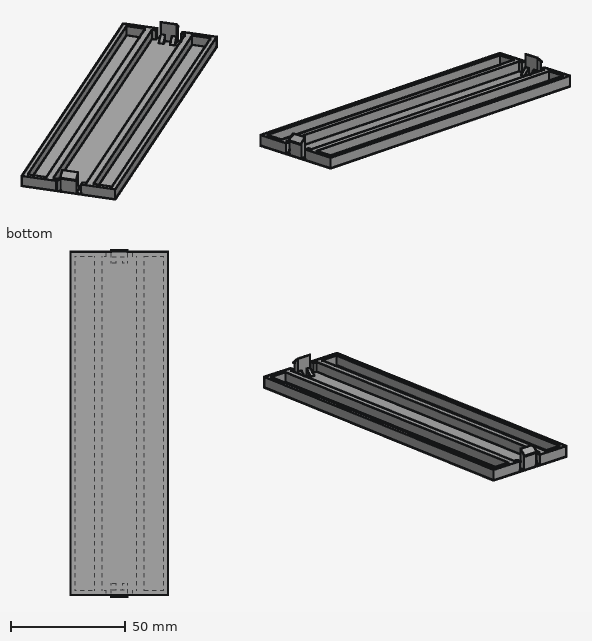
import cadquery as cq

total_length = 151.6
tray_width = 42.7
tray_height = 5.0
total_height = 9.5
floor_thickness = 0.5

wall = 2.1
center_pocket_width = 15.2
divider = 3.2
end_gap_width = 11.5

hook_overhang = 0.8
clip_width = 7.3
clip_thickness = 2.3
hook_height = 2.7
gusset_width = 2.1
gusset_length = 2.7
gusset_height = 3.0

tray_length = total_length - 2 * hook_overhang
pocket_length = tray_length - 2 * wall
side_pocket_width = (tray_width - center_pocket_width) / 2 - divider - wall
side_pocket_x = center_pocket_width / 2 + divider + side_pocket_width / 2


def upright_box(width, length, bottom, top, x=0):
    """Box centred at x on the tray's long axis, spanning bottom to top in Z."""
    box = cq.Workplane("XY").box(width, length, top - bottom, centered=(True, True, False))
    return box.translate((x, 0, bottom))


def extruded_profile(points, width, x=0):
    """Y-Z profile extruded along X, centred at x."""
    return cq.Workplane("YZ").polyline(points).close().extrude(width / 2, both=True).translate((x, 0, 0))


def make_tray():
    tray = upright_box(tray_width, tray_length, 0, tray_height)
    tray = tray.cut(upright_box(center_pocket_width, pocket_length, floor_thickness, tray_height))
    for side in (-1, 1):
        tray = tray.cut(
            upright_box(side_pocket_width, pocket_length, floor_thickness, tray_height, side * side_pocket_x)
        )
    return tray.cut(upright_box(end_gap_width, tray_length, floor_thickness, tray_height))


def make_clip():
    """Clip at the +Y end: upright tongue, outward hook and two inner gussets."""
    outer_y = tray_length / 2
    inner_y = outer_y - clip_thickness
    hook_z = total_height - hook_height
    clip = extruded_profile(
        [
            (inner_y, 0),
            (outer_y, 0),
            (outer_y, hook_z),
            (outer_y + hook_overhang, hook_z),
            (inner_y, total_height),
        ],
        clip_width,
    )
    gusset_points = [
        (inner_y, 0),
        (inner_y - gusset_length, 0),
        (inner_y - gusset_length, floor_thickness),
        (inner_y, floor_thickness + gusset_height),
    ]
    gusset_x = (clip_width - gusset_width) / 2
    for side in (-1, 1):
        clip = clip.union(extruded_profile(gusset_points, gusset_width, side * gusset_x))
    return clip


clip = make_clip()
result = make_tray().union(clip).union(clip.mirror("XZ"))